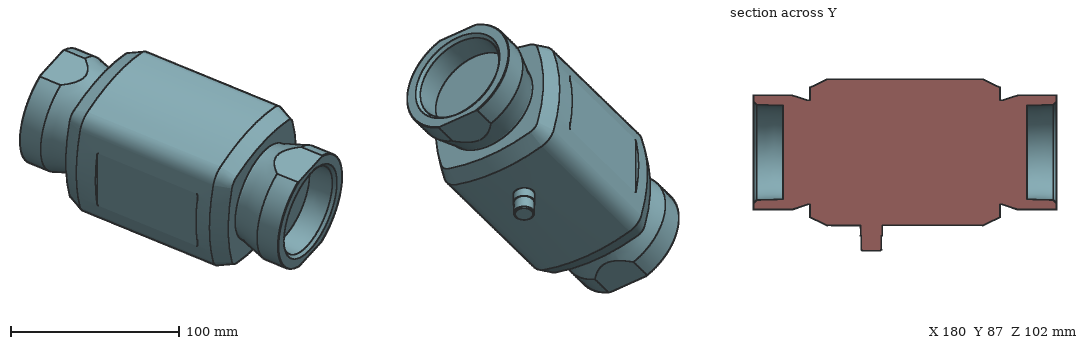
import cadquery as cq
import math

HOUSING_LENGTH = 113.0
HOUSING_WIDTH = 87.0
CROWN_RADIUS = 110.0
CORNER_RADIUS = 12.5
BEVEL_LENGTH = 10.2
BEVEL_ANGLE = 25.0

OVERALL_LENGTH = 180.0
PIPE_END_RADIUS = 36.7
PIPE_END_LENGTH = 14.75
MOUTH_CHAMFER = 0.4
ACROSS_FLATS = 68.0
NECK_RADIUS = 31.0
NECK_LENGTH = 1.1

SOCKET_MOUTH_RADIUS = 30.2
SOCKET_CHAMFER = 2.0
SOCKET_TAPER = 1 / 32
SOCKET_DEPTH = 17.5

RECESS_LENGTH = 70.0
RECESS_HEIGHT = 42.8
RECESS_CENTRE_X = 2.0
RECESS_DEPTH = 2.0
RECESS_CORNER_RADIUS = 2.0

CONNECTOR_X = -20.0
COLLAR_RADIUS = 6.5
COLLAR_BOTTOM_Z = -49.6
PLUG_RADIUS = 6.1
PLUG_BOTTOM_Z = -58.5
PLUG_CHAMFER = 0.8

HALF_LENGTH = OVERALL_LENGTH / 2
HALF_HOUSING = HOUSING_LENGTH / 2
HALF_WIDTH = HOUSING_WIDTH / 2


def cushion_outline(plane):
    """Four equal crowns joined by tangent corner arcs, which start at (near, far)."""
    crown_centre = CROWN_RADIUS - HALF_WIDTH
    reach = CROWN_RADIUS - CORNER_RADIUS
    corner_centre = (-crown_centre + math.sqrt(2 * reach**2 - crown_centre**2)) / 2
    near = corner_centre * CROWN_RADIUS / reach
    far = (corner_centre + crown_centre) * CROWN_RADIUS / reach - crown_centre
    corner = corner_centre + CORNER_RADIUS / math.sqrt(2)
    return (
        plane.moveTo(-near, far)
        .threePointArc((0, HALF_WIDTH), (near, far))
        .threePointArc((corner, corner), (far, near))
        .threePointArc((HALF_WIDTH, 0), (far, -near))
        .threePointArc((corner, -corner), (near, -far))
        .threePointArc((0, -HALF_WIDTH), (-near, -far))
        .threePointArc((-corner, -corner), (-far, -near))
        .threePointArc((-HALF_WIDTH, 0), (-far, near))
        .threePointArc((-corner, corner), (-near, far))
        .close()
    )


def make_housing():
    straight_half = HALF_HOUSING - BEVEL_LENGTH
    half = cushion_outline(cq.Workplane("YZ")).extrude(straight_half)
    bevel_plane = cq.Workplane("YZ", origin=(straight_half, 0, 0))
    half = half.union(cushion_outline(bevel_plane).extrude(BEVEL_LENGTH, taper=BEVEL_ANGLE))
    return half.union(half.mirror("YZ")).clean()


def make_pipe_end():
    """Pipe end on the +X side, with its flats and socket."""
    mouth_start = HALF_LENGTH - PIPE_END_LENGTH
    body = (
        cq.Workplane("XZ")
        .moveTo(HALF_HOUSING, 0)
        .lineTo(HALF_HOUSING, NECK_RADIUS)
        .lineTo(HALF_HOUSING + NECK_LENGTH, NECK_RADIUS)
        .lineTo(mouth_start, PIPE_END_RADIUS)
        .lineTo(HALF_LENGTH - MOUTH_CHAMFER, PIPE_END_RADIUS)
        .lineTo(HALF_LENGTH, PIPE_END_RADIUS - MOUTH_CHAMFER)
        .lineTo(HALF_LENGTH, 0)
        .close()
        .revolve(360, (0, 0, 0), (1, 0, 0))
    )
    flats = cq.Workplane("XY").box(OVERALL_LENGTH, 2 * PIPE_END_RADIUS, ACROSS_FLATS)
    thread_radius = SOCKET_MOUTH_RADIUS - SOCKET_CHAMFER
    floor_radius = thread_radius - (SOCKET_DEPTH - SOCKET_CHAMFER) * SOCKET_TAPER
    socket = (
        cq.Workplane("XZ")
        .moveTo(HALF_LENGTH, 0)
        .lineTo(HALF_LENGTH, SOCKET_MOUTH_RADIUS)
        .lineTo(HALF_LENGTH - SOCKET_CHAMFER, thread_radius)
        .lineTo(HALF_LENGTH - SOCKET_DEPTH, floor_radius)
        .lineTo(HALF_LENGTH - SOCKET_DEPTH, 0)
        .close()
        .revolve(360, (0, 0, 0), (1, 0, 0))
    )
    return body.intersect(flats).cut(socket)


def make_recess():
    return (
        cq.Workplane("XZ", origin=(RECESS_CENTRE_X, RECESS_DEPTH - HALF_WIDTH, 0))
        .rect(RECESS_LENGTH, RECESS_HEIGHT)
        .extrude(2 * RECESS_DEPTH)
        .edges("|Y")
        .fillet(RECESS_CORNER_RADIUS)
    )


def make_connector():
    axis = cq.Workplane("XY", origin=(CONNECTOR_X, 0, 0))
    root_z = -HALF_WIDTH / 2
    collar = axis.workplane(offset=root_z).circle(COLLAR_RADIUS).extrude(COLLAR_BOTTOM_Z - root_z)
    plug = (
        axis.workplane(offset=COLLAR_BOTTOM_Z)
        .circle(PLUG_RADIUS)
        .extrude(PLUG_BOTTOM_Z - COLLAR_BOTTOM_Z)
        .faces("<Z")
        .chamfer(PLUG_CHAMFER)
    )
    return collar.union(plug)


pipe_end = make_pipe_end()
result = (
    make_housing()
    .union(pipe_end)
    .union(pipe_end.mirror("YZ"))
    .cut(make_recess())
    .union(make_connector())
)